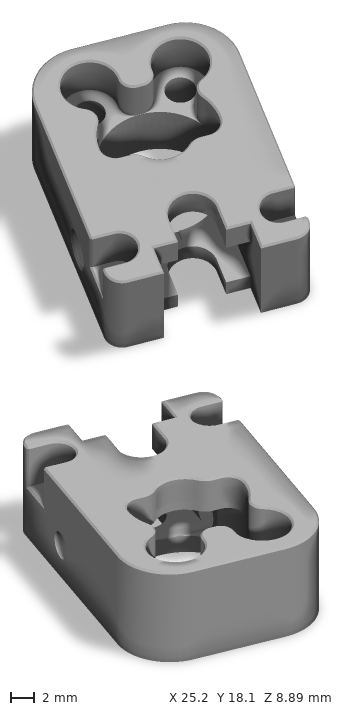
import cadquery as cq
import math

LENGTH = 25.16
WIDTH = 18.1
HEIGHT = 8.89
LEFT_CORNER_RADIUS = 4.8
RIGHT_CORNER_RADIUS = 1.6
EDGE_CHAMFER = 0.17

BORE_LEFT_CENTER = (10.94, 0)
BORE_LEFT_RADIUS = 5.32
BORE_TOP_Z = 5.69
CROWN_RADIUS = 4.7
CROWN_START_ANGLE = 104
CROWN_END_ANGLE = 68.5

SEAT_Z = 5.0
LOBE_X = 4.2
LOBE_Y = 4.0
LOBE_RADIUS = 2.5
LOBE_BLEND_RADIUS = 1.3
TONGUE_X = 5.6
TONGUE_RADIUS = 1.25
SHOULDER_X = 12.26
SHOULDER_RADIUS = 1.4
NOSE_CENTER = (10.94, 0)
NOSE_RADIUS = 2.69
NOSE_BLEND_RADIUS = 1.7
LOBE_HOLE_DIAMETER = 2.7

END_NOTCH_X = 22.36
END_NOTCH_HALF_WIDTH = 4.27
U_NOTCH_RADIUS = 2.12
U_NOTCH_CENTER_X = 19.85
CAVITY_FLOOR_Z = 1.6
CAVITY_CEILING_Z = 6.3

RECESS_X = 21.47
RECESS_Y = 7.03
RECESS_RADIUS = 1.6
RECESS_HOLE_DIAMETER = 1.83

CROSS_X = 16.32
CROSS_Z = 3.12
CROSS_CLEARANCE_DIAMETER = 3.35
CROSS_PILOT_DIAMETER = 2.45


def block(x_start, x_end, half_width, z_start, z_end):
    """Box centred on Y = 0."""
    size = (x_end - x_start, 2 * half_width, z_end - z_start)
    return cq.Workplane("XY").box(*size, centered=(False, True, False)).translate((x_start, 0, z_start))


def vertical_cylinder(x, y, radius, z_start, z_end):
    return cq.Workplane("XY", origin=(x, y, z_start)).circle(radius).extrude(z_end - z_start)


def make_body():
    body = block(0, LENGTH, WIDTH / 2, 0, HEIGHT)
    body = body.edges("|Z and <X").fillet(LEFT_CORNER_RADIUS)
    return body.edges("|Z and >X").fillet(RIGHT_CORNER_RADIUS)


def toward(start, end, distance):
    """Point at the given distance from start on the line to end."""
    scale = distance / math.dist(start, end)
    return (start[0] + scale * (end[0] - start[0]), start[1] + scale * (end[1] - start[1]))


def polar(center, radius, degrees):
    angle = math.radians(degrees)
    return (center[0] + radius * math.cos(angle), center[1] + radius * math.sin(angle))


def mid_arc(center, start, end):
    """Middle of the minor arc about center from start to end."""
    chord_middle = ((start[0] + end[0]) / 2, (start[1] + end[1]) / 2)
    return toward(center, chord_middle, math.dist(center, start))


def tangent_center(first, first_distance, second, second_distance):
    """Point at the given distances from two points, on the left of the line from first to second."""
    spacing = math.dist(first, second)
    cosine = (first_distance**2 + spacing**2 - second_distance**2) / (2 * first_distance * spacing)
    line_angle = math.atan2(second[1] - first[1], second[0] - first[0])
    return polar(first, first_distance, math.degrees(line_angle + math.acos(cosine)))


def arc_about(outline, center, start, end):
    return outline.threePointArc(mid_arc(center, start, end), end)


crown_center = polar(BORE_LEFT_CENTER, BORE_LEFT_RADIUS - CROWN_RADIUS, CROWN_START_ANGLE)
crown_start = polar(crown_center, CROWN_RADIUS, CROWN_START_ANGLE)
crown_end = polar(crown_center, CROWN_RADIUS, CROWN_END_ANGLE)
bore_right_center = (crown_center[0] - crown_center[1] / math.tan(math.radians(CROWN_END_ANGLE)), 0)
bore_right_radius = math.dist(bore_right_center, crown_end)

lobe_center = (LOBE_X, LOBE_Y)
lobe_blend = tangent_center(
    lobe_center, LOBE_RADIUS + LOBE_BLEND_RADIUS, BORE_LEFT_CENTER, BORE_LEFT_RADIUS + LOBE_BLEND_RADIUS
)
bore_start = toward(BORE_LEFT_CENTER, lobe_blend, BORE_LEFT_RADIUS)

shoulder_x = SHOULDER_X - SHOULDER_RADIUS
shoulder_rise = math.sqrt((CROWN_RADIUS - SHOULDER_RADIUS) ** 2 - (shoulder_x - crown_center[0]) ** 2)
shoulder_center = (shoulder_x, crown_center[1] + shoulder_rise)
shoulder_start = toward(crown_center, shoulder_center, CROWN_RADIUS)


def draw_bore_left(outline):
    """Left arc of the bore, from its tip to the lobe blend."""
    left_tip = polar(BORE_LEFT_CENTER, BORE_LEFT_RADIUS, 180)
    return arc_about(outline.moveTo(*left_tip), BORE_LEFT_CENTER, left_tip, bore_start)


def draw_lobe(outline):
    """Half of the tongue between the lobes, one lobe and its blend into the bore."""
    tongue_center_x = TONGUE_X - TONGUE_RADIUS
    tongue_rise = math.sqrt((LOBE_RADIUS + TONGUE_RADIUS) ** 2 - (tongue_center_x - LOBE_X) ** 2)
    tongue_center = (tongue_center_x, LOBE_Y - tongue_rise)
    tongue_tip = (TONGUE_X, tongue_center[1])
    lobe_start = toward(lobe_center, tongue_center, LOBE_RADIUS)
    lobe_far = polar(lobe_center, LOBE_RADIUS, 180)
    lobe_end = toward(lobe_center, lobe_blend, LOBE_RADIUS)
    outline = outline.moveTo(TONGUE_X, 0).lineTo(*tongue_tip)
    outline = arc_about(outline, tongue_center, tongue_tip, lobe_start)
    outline = outline.threePointArc(lobe_far, lobe_end)
    return arc_about(outline, lobe_blend, lobe_end, bore_start)


def draw_bore_top(outline):
    """Bore from the lobe blend to the point where the shoulder leaves its crown."""
    outline = arc_about(outline, BORE_LEFT_CENTER, bore_start, crown_start)
    return arc_about(outline, crown_center, crown_start, shoulder_start)


def draw_bore_right(outline):
    """Rest of the crown and the right arc of the bore, to its tip."""
    right_tip = polar(bore_right_center, bore_right_radius, 0)
    outline = arc_about(outline, crown_center, shoulder_start, crown_end)
    return arc_about(outline, bore_right_center, crown_end, right_tip)


def draw_nose(outline):
    """Shoulder, straight side and round nose, to the tip of the nose."""
    blend_x = SHOULDER_X + NOSE_BLEND_RADIUS
    reach = NOSE_RADIUS + NOSE_BLEND_RADIUS
    nose_blend = (blend_x, math.sqrt(reach**2 - (blend_x - NOSE_CENTER[0]) ** 2))
    shoulder_end = (SHOULDER_X, shoulder_center[1])
    side_end = (SHOULDER_X, nose_blend[1])
    nose_start = toward(NOSE_CENTER, nose_blend, NOSE_RADIUS)
    nose_tip = polar(NOSE_CENTER, NOSE_RADIUS, 0)
    outline = arc_about(outline, shoulder_center, shoulder_start, shoulder_end).lineTo(*side_end)
    outline = arc_about(outline, nose_blend, side_end, nose_start)
    return arc_about(outline, NOSE_CENTER, nose_start, nose_tip)


def make_bore_layer(z_start, z_end, draw_left, draw_right):
    """Layer of the +Y half, with its own left and right ends around the shared part of the bore."""
    outline = draw_left(cq.Workplane("XY", origin=(0, 0, z_start)))
    outline = draw_right(draw_bore_top(outline))
    return outline.close().extrude(z_end - z_start)


def make_bore_and_opening():
    """Bore alone, then bore with screw lobes, then the shaped opening in the top."""
    lower = make_bore_layer(0, SEAT_Z, draw_bore_left, draw_bore_right)
    middle = make_bore_layer(SEAT_Z, BORE_TOP_Z, draw_lobe, draw_bore_right)
    upper = make_bore_layer(BORE_TOP_Z, HEIGHT, draw_lobe, draw_nose)
    half = lower.union(middle).union(upper)
    return half.union(half.mirror("XZ"))


def make_end_notches():
    end_notch = block(END_NOTCH_X, LENGTH, END_NOTCH_HALF_WIDTH, 0, HEIGHT)
    u_round = vertical_cylinder(U_NOTCH_CENTER_X, 0, U_NOTCH_RADIUS, 0, HEIGHT)
    u_straight = block(U_NOTCH_CENTER_X, END_NOTCH_X, U_NOTCH_RADIUS, 0, HEIGHT)
    return u_round.union(u_straight).union(end_notch)


def make_cavity():
    """Hollow from the bore to the right end, as wide as the end notch."""
    bore_reach = math.sqrt(bore_right_radius**2 - END_NOTCH_HALF_WIDTH**2)
    start_x = bore_right_center[0] + bore_reach
    return block(start_x, LENGTH, END_NOTCH_HALF_WIDTH, CAVITY_FLOOR_Z, CAVITY_CEILING_Z)


def make_recess(side):
    """Round-ended recess open to the side face; side is +1 or -1 along Y."""
    depth = HEIGHT - SEAT_Z
    reach = WIDTH / 2 - RECESS_Y
    straight = cq.Workplane("XY").box(2 * RECESS_RADIUS, reach, depth, centered=(True, True, False))
    straight = straight.translate((RECESS_X, side * (RECESS_Y + reach / 2), SEAT_Z))
    return straight.union(vertical_cylinder(RECESS_X, side * RECESS_Y, RECESS_RADIUS, SEAT_Z, HEIGHT))


def cross_cylinder(diameter, y_start, y_end):
    plane = cq.Workplane("XZ", origin=(CROSS_X, y_start, CROSS_Z))
    return plane.circle(diameter / 2).extrude(y_start - y_end)


def break_edges(body):
    """Chamfer the top outline, the recess mouths and the cross hole mouth."""
    margin = 0.01
    mouth_box = cq.selectors.BoxSelector(
        (RECESS_X - RECESS_RADIUS - margin, -WIDTH, SEAT_Z - margin),
        (RECESS_X + RECESS_RADIUS + margin, WIDTH, HEIGHT - margin),
    )
    side_edges = body.faces("<Y or >Y").edges(mouth_box)
    cross_mouth = body.faces("<Y").edges("%CIRCLE")
    edges = body.faces(">Z").edges().add(side_edges).add(cross_mouth)
    return body.newObject(edges.vals()).chamfer(EDGE_CHAMFER)


body = make_body().cut(make_bore_and_opening())
body = body.cut(make_end_notches()).cut(make_cavity())
for side in (-1, 1):
    body = body.cut(make_recess(side))
    recess_hole = vertical_cylinder(RECESS_X, side * RECESS_Y, RECESS_HOLE_DIAMETER / 2, 0, SEAT_Z)
    lobe_hole = vertical_cylinder(LOBE_X, side * LOBE_Y, LOBE_HOLE_DIAMETER / 2, 0, SEAT_Z)
    body = body.cut(recess_hole).cut(lobe_hole)
body = body.cut(cross_cylinder(CROSS_CLEARANCE_DIAMETER, -WIDTH / 2, 0))
body = body.cut(cross_cylinder(CROSS_PILOT_DIAMETER, 0, WIDTH / 2))

result = break_edges(body)